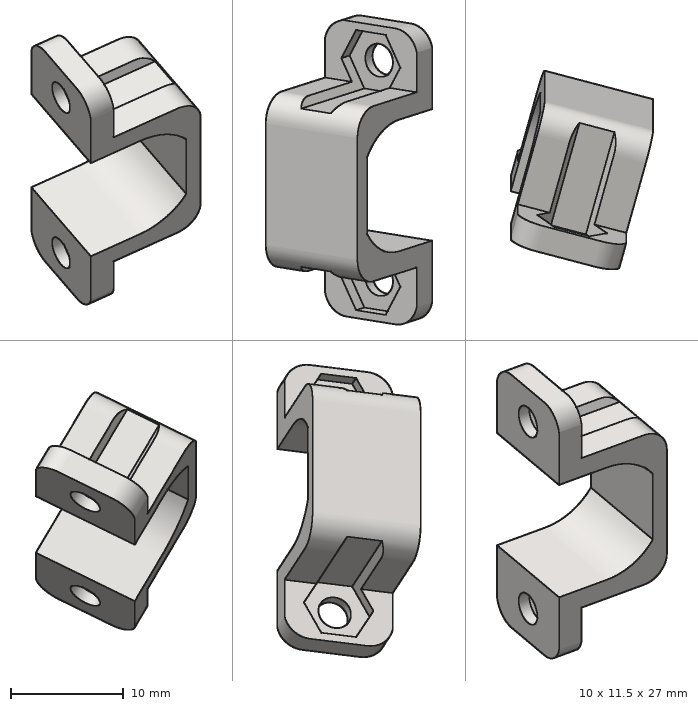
import cadquery as cq
import math

width = 10.0
depth = 11.5
height = 27.0

outer_half_height = 8.0
back_corner_radius = 2.45
bore_radius = 6.0
bore_axis_y = 5.13
back_wall = 1.5

flange_thickness = 2.4
corner_radius = 2.4
corner_inset = 2.35
hole_diameter = 3.0
hole_offset_z = 10.0
screw_land = 1.13

nut_across_flats = 5.55
nut_across_corners = nut_across_flats / math.cos(math.radians(30))


def centred_box(size_y, size_z):
    """Full-width block growing from the mounting face, centred on X and Z."""
    return cq.Workplane("XY").box(width, size_y, size_z, centered=(True, False, True))


def flange_plate():
    """Plate with four rounded corners, each tangent to the end edge only."""
    half_width = width / 2
    half_height = height / 2
    top_x = half_width - corner_inset
    arc_z = half_height - corner_radius
    side_z = arc_z + math.sqrt(corner_radius**2 - corner_inset**2)
    middle_angle = (math.pi / 2 + math.atan2(side_z - arc_z, corner_inset)) / 2
    middle_x = top_x + corner_radius * math.cos(middle_angle)
    middle_z = arc_z + corner_radius * math.sin(middle_angle)
    return (
        cq.Workplane("XZ")
        .moveTo(-top_x, half_height)
        .lineTo(top_x, half_height)
        .threePointArc((middle_x, middle_z), (half_width, side_z))
        .lineTo(half_width, -side_z)
        .threePointArc((middle_x, -middle_z), (top_x, -half_height))
        .lineTo(-top_x, -half_height)
        .threePointArc((-middle_x, -middle_z), (-half_width, -side_z))
        .lineTo(-half_width, side_z)
        .threePointArc((-middle_x, middle_z), (-top_x, half_height))
        .close()
        .extrude(-flange_thickness)
    )


def strap_block():
    """Solid block of the strap with its back edges rounded."""
    block = centred_box(depth, 2 * outer_half_height)
    return block.faces(">Y").edges("|X").fillet(back_corner_radius)


def strap_opening():
    """Round-ended channel, cut flat where it meets the back wall."""
    bore = (
        cq.Workplane("YZ")
        .center(bore_axis_y, 0)
        .circle(bore_radius)
        .extrude(width / 2, both=True)
    )
    channel = centred_box(bore_axis_y, 2 * bore_radius)
    limit = centred_box(depth - back_wall, height)
    return channel.union(bore.intersect(limit))


def screw_axes(plane_y):
    """Workplane at a given Y with a point on each screw axis."""
    plane = cq.Workplane("XZ", origin=(0, plane_y, 0))
    return plane.pushPoints([(0, hole_offset_z), (0, -hole_offset_z)])


screw_holes = screw_axes(0).circle(hole_diameter / 2).extrude(-flange_thickness)
nut_clearances = (
    screw_axes(screw_land)
    .polygon(6, nut_across_corners)
    .extrude(screw_land - depth)
)

result = (
    flange_plate()
    .union(strap_block())
    .cut(strap_opening())
    .cut(screw_holes)
    .cut(nut_clearances)
)